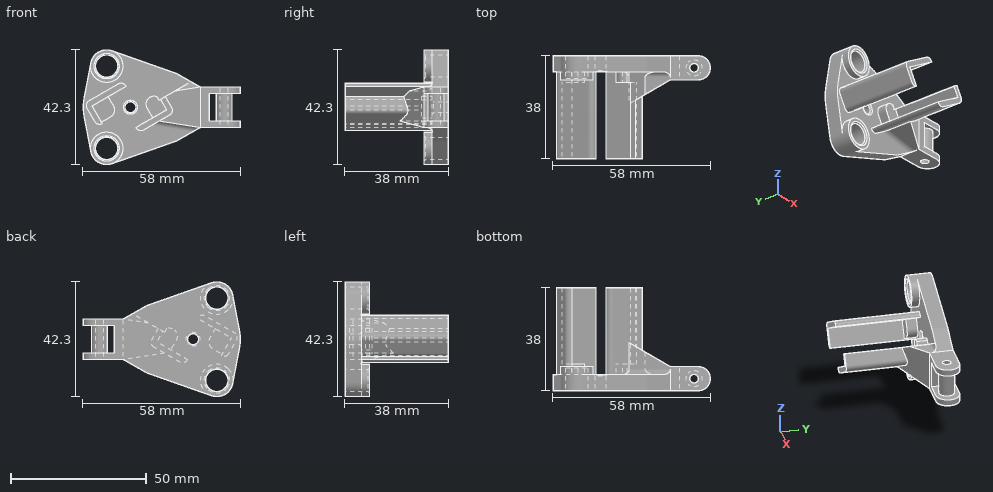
import cadquery as cq
import math

PLATE_THICKNESS = 5.95
NOSE_RADIUS = 17.45
SHOULDER_X = 14.55
SHOULDER_Z = 7.3
SHOULDER_RADIUS = 5.7
CENTRE_HOLE_DIAMETER = 4.0
HOLE_CHAMFER = 0.6

BOSS_CIRCLE_RADIUS = 17.5
BOSS_ANGLE = 120
BOSS_DIAMETER = 12.0
BOSS_HOLE_DIAMETER = 8.2
BOSS_X = BOSS_CIRCLE_RADIUS * math.cos(math.radians(BOSS_ANGLE))
BOSS_Z = BOSS_CIRCLE_RADIUS * math.sin(math.radians(BOSS_ANGLE))
BOSS_RADIUS = BOSS_DIAMETER / 2

ARM_THICKNESS = 9.0
ARM_START_X = 25.75
ARM_END_X = 57.95 - NOSE_RADIUS
ARM_WIDTH = 14.95
CLEVIS_SLOT_WIDTH = 9.95
CLEVIS_SLOT_X = 29.05
ROLLER_X = 34.5
ROLLER_DIAMETER = 5.9
ROLLER_BORE = 3.1
LUG_HOLE_DIAMETER = 3.1
LUG_RADIUS = ARM_THICKNESS / 2

RAIL_ANGLE = 30
RAIL_END = 38.0
RAIL_THICKNESS = 2.2
SHORT_LEG_THICKNESS = 2.0
RAIL_ROUND = 1.95
RAIL_V = 7.5
LEFT_RAIL_U = -12.0
LEFT_RAIL_TIP_U = 2.45
LEFT_RAIL_TIP_V = 0
RIGHT_RAIL_U = 11.05
RIGHT_RAIL_TIP_U = -1.95
RIGHT_RAIL_TIP_V = -3.0

PAD_HEIGHT = 9.95
PAD_RADIUS = 2.95
PAD_EDGE_U = 5.15
LEFT_PAD_EDGE_V = 0.6
RIGHT_PAD_EDGE_V = -0.4
PAD_CLIP_U = 10.4

GUSSET_SLOPE = 30
GUSSET_TAPER = 9
GUSSET_FILLET = 1.95

OVERSIZE = 57.95


def slab(start, end):
    """Workplane and depth of an XZ extrusion between two distances from the back face."""
    return cq.Workplane("XZ", origin=(0, -start, 0)), end - start


def prism(points, start, end):
    plane, depth = slab(start, end)
    return plane.polyline(points).close().extrude(depth)


def cylinder(x, z, diameter, start, end):
    plane, depth = slab(start, end)
    return plane.center(x, z).circle(diameter / 2).extrude(depth)


def turn_to_rails(body):
    return body.rotate((0, 0, 0), (0, 1, 0), -RAIL_ANGLE)


def tangent_points(centre_a, radius_a, centre_b, radius_b):
    """Contacts of the common tangent left of the direction a to b, for two circles."""
    dx = centre_b[0] - centre_a[0]
    dz = centre_b[1] - centre_a[1]
    angle = math.atan2(dz, dx) + math.acos((radius_a - radius_b) / math.hypot(dx, dz))
    nx = math.cos(angle)
    nz = math.sin(angle)
    return (
        (centre_a[0] + radius_a * nx, centre_a[1] + radius_a * nz),
        (centre_b[0] + radius_b * nx, centre_b[1] + radius_b * nz),
    )


def outline_prism(start, end):
    """Plate outline: lines tangent to nose, bosses and shoulders; the bosses round its corners."""
    nose = (0, 0)
    boss = (BOSS_X, BOSS_Z)
    shoulder = (SHOULDER_X, SHOULDER_Z)
    corner = (ARM_START_X, ARM_WIDTH / 2)
    nose_out, boss_in = tangent_points(nose, NOSE_RADIUS, boss, BOSS_RADIUS)
    boss_out, shoulder_in = tangent_points(boss, BOSS_RADIUS, shoulder, SHOULDER_RADIUS)
    shoulder_out, _ = tangent_points(shoulder, SHOULDER_RADIUS, corner, 0)

    shoulder_angle = math.radians(65)
    shoulder_mid = (
        SHOULDER_X + SHOULDER_RADIUS * math.cos(shoulder_angle),
        SHOULDER_Z + SHOULDER_RADIUS * math.sin(shoulder_angle),
    )

    def below(point):
        return (point[0], -point[1])

    plane, depth = slab(start, end)
    return (
        plane.moveTo(*below(nose_out))
        .threePointArc((-NOSE_RADIUS, 0), nose_out)
        .lineTo(*boss_in)
        .lineTo(*boss)
        .lineTo(*boss_out)
        .lineTo(*shoulder_in)
        .threePointArc(shoulder_mid, shoulder_out)
        .lineTo(*corner)
        .lineTo(*below(corner))
        .lineTo(*below(shoulder_out))
        .threePointArc(below(shoulder_mid), below(shoulder_in))
        .lineTo(*below(boss_out))
        .lineTo(*below(boss))
        .lineTo(*below(boss_in))
        .close()
        .extrude(depth)
    )


def chamfered_hole(x, z, diameter, depth):
    """Through hole with a 45 degree chamfer at the mouth on the -Y side."""
    radius = diameter / 2
    cone = cq.Solid.makeCone(
        radius + HOLE_CHAMFER, radius, HOLE_CHAMFER,
        pnt=cq.Vector(x, -depth, z), dir=cq.Vector(0, 1, 0),
    )
    return cylinder(x, z, diameter, 0, depth).union(cq.Workplane(cone))


def make_arm():
    lug_centre_x = ARM_END_X - LUG_RADIUS
    arm = (
        cq.Workplane("XY", origin=(0, 0, -ARM_WIDTH / 2))
        .moveTo(ARM_START_X, 0)
        .lineTo(lug_centre_x, 0)
        .threePointArc((ARM_END_X, -LUG_RADIUS), (lug_centre_x, -ARM_THICKNESS))
        .lineTo(ARM_START_X, -ARM_THICKNESS)
        .close()
        .extrude(ARM_WIDTH)
    )
    slot = cq.Workplane("XY").box(
        OVERSIZE, OVERSIZE, CLEVIS_SLOT_WIDTH, centered=(False, True, True)
    ).translate((CLEVIS_SLOT_X, 0, 0))
    pin_hole = (
        cq.Workplane("XY", origin=(ROLLER_X, -LUG_RADIUS, 0))
        .circle(LUG_HOLE_DIAMETER / 2)
        .extrude(ARM_WIDTH, both=True)
    )
    return arm.cut(slot).cut(pin_hole)


def make_rail(corner_u, tip_u, tip_v, side, round_short_tip):
    """L section; side is +1 for the rail at +v and -1 for the rail at -v."""
    inner_v = side * RAIL_V
    outer_u = corner_u - side * SHORT_LEG_THICKNESS
    outer_v = inner_v + side * RAIL_THICKNESS
    rail = prism(
        [
            (corner_u, inner_v), (tip_u, inner_v), (tip_u, outer_v),
            (outer_u, outer_v), (outer_u, tip_v), (corner_u, tip_v),
        ],
        0, RAIL_END,
    )
    rounded = [(tip_u, outer_v), (outer_u, outer_v)]
    if round_short_tip:
        rounded.append((outer_u, tip_v))
    for u, v in rounded:
        edge = cq.selectors.NearestToPointSelector((u, -RAIL_END / 2, v))
        rail = rail.edges("|Y").edges(edge).fillet(RAIL_ROUND)
    return turn_to_rails(rail)


def make_left_pad():
    pad = prism(
        [
            (LEFT_RAIL_U, RAIL_V), (-PAD_EDGE_U, RAIL_V),
            (-PAD_EDGE_U, LEFT_PAD_EDGE_V), (LEFT_RAIL_U, LEFT_PAD_EDGE_V),
        ],
        0, PAD_HEIGHT,
    )
    return turn_to_rails(pad.edges("|Y and >X and <Z").fillet(PAD_RADIUS))


def make_right_pad():
    centre_u = PAD_EDGE_U + PAD_RADIUS
    centre_v = RIGHT_PAD_EDGE_V - PAD_RADIUS
    clip_v = centre_v + math.sqrt(PAD_RADIUS**2 - (PAD_CLIP_U - centre_u) ** 2)
    plane, depth = slab(0, PAD_HEIGHT)
    pad = (
        plane.moveTo(PAD_EDGE_U, -RAIL_V)
        .lineTo(PAD_EDGE_U, centre_v)
        .threePointArc((centre_u, RIGHT_PAD_EDGE_V), (PAD_CLIP_U, clip_v))
        .lineTo(PAD_CLIP_U, RIGHT_RAIL_TIP_V)
        .lineTo(RIGHT_RAIL_U, RIGHT_RAIL_TIP_V)
        .lineTo(RIGHT_RAIL_U, -RAIL_V)
        .close()
        .extrude(depth)
    )
    return turn_to_rails(pad)


def make_gusset_fillet():
    """Concave strip between the plate and the +Z side of the gusset, before trimming."""
    strip = (
        cq.Workplane("YZ", origin=(ARM_START_X - OVERSIZE / 2, 0, 0))
        .moveTo(-PLATE_THICKNESS, ARM_WIDTH / 2)
        .lineTo(-PLATE_THICKNESS - GUSSET_FILLET, ARM_WIDTH / 2)
        .radiusArc((-PLATE_THICKNESS, ARM_WIDTH / 2 + GUSSET_FILLET), -GUSSET_FILLET)
        .close()
        .extrude(OVERSIZE)
    )
    pivot = (ARM_START_X, 0, ARM_WIDTH / 2)
    pivot_end = (ARM_START_X, 1, ARM_WIDTH / 2)
    return strip.rotate(pivot, pivot_end, -GUSSET_TAPER)


def make_gusset():
    """Tapered wedge, trimmed by its slope, the plate outline and the right rail."""
    half_width = ARM_WIDTH / 2
    length = ARM_START_X
    narrow = half_width - length * math.tan(math.radians(GUSSET_TAPER))
    wedge = prism(
        [(ARM_START_X, half_width), (ARM_START_X, -half_width), (0, -narrow), (0, narrow)],
        0, RAIL_END,
    )
    fillet = make_gusset_fillet()
    gusset = wedge.union(fillet).union(fillet.mirror("XY"))

    rise = length * math.tan(math.radians(GUSSET_SLOPE))
    below_slope = (
        cq.Workplane("XY", origin=(0, 0, -OVERSIZE / 2))
        .polyline([(length, 0), (length, -ARM_THICKNESS), (0, -ARM_THICKNESS - rise), (0, 0)])
        .close()
        .extrude(OVERSIZE)
    )
    gusset = gusset.intersect(below_slope).intersect(outline_prism(0, RAIL_END))

    beyond_rail_tip = prism(
        [
            (-OVERSIZE, RIGHT_RAIL_TIP_V), (OVERSIZE, RIGHT_RAIL_TIP_V),
            (OVERSIZE, OVERSIZE), (-OVERSIZE, OVERSIZE),
        ],
        0, OVERSIZE,
    )
    inside_rail = prism(
        [
            (-OVERSIZE, -RAIL_V), (RIGHT_RAIL_U, -RAIL_V),
            (RIGHT_RAIL_U, OVERSIZE), (-OVERSIZE, OVERSIZE),
        ],
        0, OVERSIZE,
    )
    return gusset.cut(turn_to_rails(beyond_rail_tip)).cut(turn_to_rails(inside_rail))


def make_bracket():
    bracket = outline_prism(0, PLATE_THICKNESS).union(make_arm()).union(make_gusset())
    bracket = bracket.union(make_rail(LEFT_RAIL_U, LEFT_RAIL_TIP_U, LEFT_RAIL_TIP_V, 1, True))
    bracket = bracket.union(make_rail(RIGHT_RAIL_U, RIGHT_RAIL_TIP_U, RIGHT_RAIL_TIP_V, -1, False))
    bracket = bracket.union(make_left_pad()).union(make_right_pad())
    for z in (BOSS_Z, -BOSS_Z):
        bracket = bracket.union(cylinder(BOSS_X, z, BOSS_DIAMETER, 0, ARM_THICKNESS))
        bracket = bracket.cut(chamfered_hole(BOSS_X, z, BOSS_HOLE_DIAMETER, ARM_THICKNESS))
    return bracket.cut(chamfered_hole(0, 0, CENTRE_HOLE_DIAMETER, PLATE_THICKNESS)).clean()


def make_roller():
    """Bored roller filling the width of the clevis slot."""
    return (
        cq.Workplane("XY", origin=(ROLLER_X, -LUG_RADIUS, -CLEVIS_SLOT_WIDTH / 2))
        .circle(ROLLER_DIAMETER / 2)
        .circle(ROLLER_BORE / 2)
        .extrude(CLEVIS_SLOT_WIDTH)
    )


bracket = make_bracket()
roller = make_roller()
result = cq.Compound.makeCompound([bracket.val(), roller.val()])